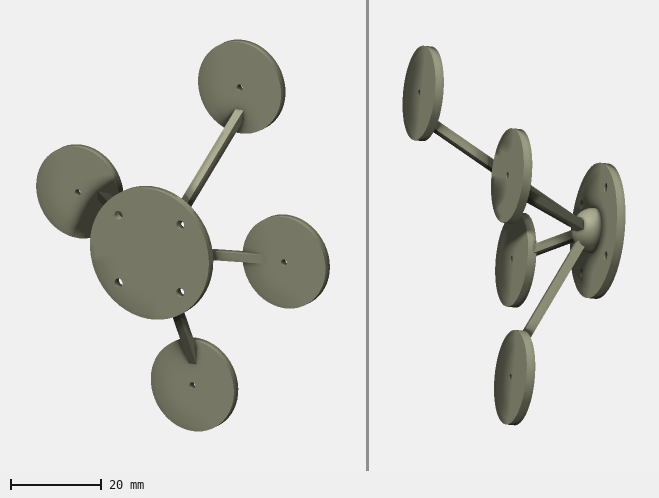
import cadquery as cq
import math

base_diameter = 30.0
plate_thickness = 2.0
dome_diameter = 10.0
mount_hole_diameter = 2.0
mount_circle_diameter = 22.0
mount_hole_count = 4
mount_start_angle = 45

arm_width = 2.0
disc_diameter = 21.0
disc_hole_diameter = 1.5

overall_width = 87
right_tilt = 15
right_length = 25.05
left_tilt = 45
left_length = 45.0

arms = [
    (0, right_tilt, right_length),
    (90, 60, 45.05),
    (180, left_tilt, left_length),
    (270, 30, 35.05),
]


def reach(tilt, length):
    """Distance an arm spans along the base plane."""
    return length * math.cos(math.radians(tilt))


side_reach = reach(right_tilt, right_length) + reach(left_tilt, left_length)
disc_offset = (overall_width - disc_diameter - side_reach) / 2


def plate(diameter):
    """Round plate with its front face on the XZ plane, thickened towards +Y."""
    return cq.Workplane("XZ").circle(diameter / 2).extrude(-plate_thickness)


def make_base():
    return (
        plate(base_diameter)
        .faces("<Y").workplane(origin=(0, 0, 0))
        .polarArray(mount_circle_diameter / 2, mount_start_angle, 360, mount_hole_count)
        .hole(mount_hole_diameter)
    )


def make_dome():
    """Half ball on the back face of the base."""
    ball = cq.Workplane("XY").sphere(dome_diameter / 2)
    back_half = cq.Workplane("XY").box(*[dome_diameter] * 3, centered=(True, False, True))
    return ball.intersect(back_half).translate((0, plate_thickness, 0))


def make_arm_with_disc(heading, tilt, length):
    """Square arm whose base-side face starts at the dome centre, ending in a drilled disc."""
    arm = (
        cq.Workplane("XY")
        .box(length, arm_width, arm_width, centered=(False, False, True))
        .rotate((0, 0, 0), (0, 0, 1), tilt)
    )
    tip_height = length * math.sin(math.radians(tilt))
    disc = (
        plate(disc_diameter)
        .faces("<Y").workplane(origin=(0, 0, 0))
        .hole(disc_hole_diameter)
        .translate((reach(tilt, length) + disc_offset, tip_height, 0))
    )
    return (
        arm.union(disc)
        .rotate((0, 0, 0), (0, 1, 0), -heading)
        .translate((0, plate_thickness, 0))
    )


result = make_base().union(make_dome())
for heading, tilt, length in arms:
    result = result.union(make_arm_with_disc(heading, tilt, length))